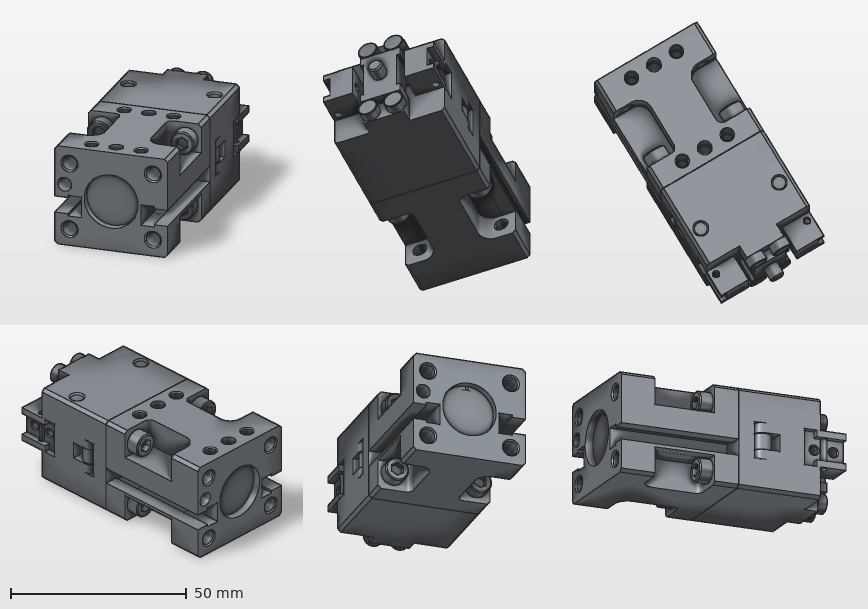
import cadquery as cq
import math

WIDTH = 34.0
HEIGHT = 30.0
EDGE_CHAMFER = 0.95
FRONT_LENGTH = 36.5
BODY_GAP = 0.15
REAR_START = FRONT_LENGTH + BODY_GAP
REAR_END = 62.05
PIN_END = 73.0
SIDES = (-1, 1)
HALF_WIDTH = WIDTH / 2
HALF_HEIGHT = HEIGHT / 2
DRILL_POINT_ANGLE = 118

SCREW_X = 12.55
SCREW_Z = 10.0
HEAD_DIAMETER = 7.0
HEAD_LENGTH = 4.0
HEAD_CHAMFER = 0.4
SHANK_DIAMETER = 4.0
SHANK_REACH = 8.0
SOCKET_FLATS = 3.5
SOCKET_DEPTH = 2.0

POCKET_START = 10.5
POCKET_END = 29.05
POCKET_WIDTH = 10.0
POCKET_DEPTH = 8.7
POCKET_FRONT_RADIUS = 4.0
POCKET_REAR_RADIUS = 2.0
BORE_DIAMETER = 16.2
BORE_DEPTH = 2.4
ACCESS_DIAMETER = 4.2
ACCESS_CHAMFER = 0.45
PIN_HOLE_DIAMETER = 4.15
PIN_HOLE_DEPTH = 8.0
PIN_HOLE_X = -14.0
PIN_HOLE_Z = 3.5
SLOT_CENTER_Z = -2.9
SLOT_MOUTH_HEIGHT = 4.9
SLOT_MOUTH_DEPTH = 4.0
SLOT_INNER_HEIGHT = 6.3
SLOT_DEPTH = 8.0
MOUNT_ROWS_Y = (4.45, 32.55)
MOUNT_PITCH_X = 7.45
DOWEL_DIAMETER = 4.15
TAP_DIAMETER = 3.35
TAP_CHAMFER = 0.4
MOUNT_DEPTH = 8.0

TOP_RECESS_X = 13.0
TOP_RECESS_Y = 52.05
TOP_RECESS_DIAMETER = 4.5
TOP_RECESS_FLOOR_DIAMETER = 3.65
TOP_RECESS_DEPTH = 0.5

BLOCK_WIDTH = 12.3
BLOCK_STEP_Y = 66.1
BLOCK_END = 68.9
BLOCK_LEDGE_Z = 8.9
BLOCK_GROOVE_HEIGHT = 12.3
BLOCK_GROOVE_DEPTH = 1.0
REAR_HEAD_X = 3.95
REAR_HEAD_Z = 11.9
REAR_HEAD_DIAMETER = 5.8
REAR_HEAD_CHAMFER = 0.2
PIN_DIAMETER = 4.4
PIN_CHAMFER = 0.45

CLIP_WIDTH = 9.0
CLIP_HEIGHT = 10.9
CLIP_END = 70.1
CHANNEL_HEIGHT = 6.9
CHANNEL_DEPTH = 2.0
FLANGE_START = 60.95
CHANNEL_START = 57.0
CLIP_HOLE_DIAMETER = 2.05
CLIP_HOLE_INSET = 2.0
CLIP_HOLE_Y = 63.95
CROSS_HOLE_YS = (60.95, 66.95)
CROSS_HOLE_DIAMETER = 2.4
CROSS_HOLE_CHAMFER = 0.4

ROLLER_Y = 45.05
ROLLER_RADIUS = 2.85
ARM_FRONT = ROLLER_Y - ROLLER_RADIUS
ROLLER_HEIGHT = 4.7
ROLLER_INSET = 0.3
WINDOW_HEIGHT = 5.05
WINDOW_END = 49.5
GAP_START = 41.5
PLUNGER_DIAMETER = 16.2


def box(x_range, y_range, z_range):
    """Axis-aligned box from three (low, high) ranges."""
    size = [high - low for low, high in (x_range, y_range, z_range)]
    return cq.Workplane("XY").box(*size, centered=False).translate((x_range[0], y_range[0], z_range[0]))


def span(size):
    """Range of the given size, centered on zero."""
    return (-size / 2, size / 2)


def rod(diameter, x, y_range, z):
    """Cylinder along Y."""
    length = y_range[1] - y_range[0]
    return cq.Workplane("XZ").circle(diameter / 2).extrude(-length).translate((x, y_range[0], z))


def chamfered_block(y_range):
    """Main block section with its four long edges chamfered."""
    return box(span(WIDTH), y_range, span(HEIGHT)).edges("|Y").chamfer(EDGE_CHAMFER)


def drill(diameter, depth, chamfer=0.0, pointed=True):
    """Hole cutter from the origin down -Z, with an optional mouth chamfer and drill point."""
    radius = diameter / 2
    point = radius / math.tan(math.radians(DRILL_POINT_ANGLE / 2)) if pointed else 0.0
    outline = cq.Workplane("XZ").lineTo(radius + chamfer, 0)
    if chamfer:
        outline = outline.lineTo(radius, -chamfer)
    outline = outline.lineTo(radius, -depth).lineTo(0, -depth - point).close()
    return outline.revolve(360, (0, 0), (0, 1))


def drill_down(cutter, x, y):
    """Place a hole cutter on the top face."""
    return cutter.translate((x, y, HALF_HEIGHT))


def drill_in(cutter, x, z):
    """Place a hole cutter on the front face, pointing along +Y."""
    return cutter.rotate((0, 0, 0), (1, 0, 0), 90).translate((x, 0, z))


def drill_side(cutter, side, x, y):
    """Place a hole cutter at distance x on the given side, pointing towards the middle."""
    return cutter.rotate((0, 0, 0), (0, 1, 0), 90 * side).translate((side * x, y, 0))


def both_sides(shape):
    """A +X shape together with its -X mirror image."""
    return shape, shape.mirror("YZ")


def corner_places():
    return [(side * SCREW_X, level * SCREW_Z) for side in SIDES for level in SIDES]


def screw_pocket():
    """Upper +X pocket that houses a screw head."""
    x_range = (HALF_WIDTH - POCKET_WIDTH, HALF_WIDTH)
    z_range = (HALF_HEIGHT - POCKET_DEPTH, HALF_HEIGHT)
    pocket = box(x_range, (POCKET_START, POCKET_END), z_range)
    pocket = pocket.edges("|Z and <X and <Y").fillet(POCKET_FRONT_RADIUS)
    return pocket.edges("|Z and <X and >Y").fillet(POCKET_REAR_RADIUS)


def side_slot():
    """T-slot along the +X side."""
    y_range = (0, FRONT_LENGTH)
    mouth = box((HALF_WIDTH - SLOT_MOUTH_DEPTH, HALF_WIDTH), y_range, span(SLOT_MOUTH_HEIGHT))
    inner_x = (HALF_WIDTH - SLOT_DEPTH, HALF_WIDTH - SLOT_MOUTH_DEPTH)
    inner = box(inner_x, y_range, span(SLOT_INNER_HEIGHT))
    return mouth.union(inner).translate((0, 0, SLOT_CENTER_Z))


def make_front_body():
    body = chamfered_block((0, FRONT_LENGTH))
    for pocket in both_sides(screw_pocket()):
        body = body.cut(pocket).cut(pocket.mirror("XY"))
    for slot in both_sides(side_slot()):
        body = body.cut(slot)
    body = body.cut(rod(BORE_DIAMETER, 0, (0, BORE_DEPTH), 0))
    body = body.cut(drill_in(drill(PIN_HOLE_DIAMETER, PIN_HOLE_DEPTH), PIN_HOLE_X, PIN_HOLE_Z))

    access = drill(ACCESS_DIAMETER, POCKET_START, ACCESS_CHAMFER, pointed=False)
    for x, z in corner_places():
        body = body.cut(drill_in(access, x, z))
        body = body.cut(rod(SHANK_DIAMETER, x, (POCKET_END, FRONT_LENGTH), z))

    tapped = drill(TAP_DIAMETER, MOUNT_DEPTH, TAP_CHAMFER)
    for y in MOUNT_ROWS_Y:
        body = body.cut(drill_down(drill(DOWEL_DIAMETER, MOUNT_DEPTH), 0, y))
        for side in SIDES:
            body = body.cut(drill_down(tapped, side * MOUNT_PITCH_X, y))
    return body


def make_screw(x, z):
    """Socket-head screw along Y with its head seated on the rear wall of a pocket."""
    head_front = POCKET_END - HEAD_LENGTH
    head = rod(HEAD_DIAMETER, x, (head_front, POCKET_END), z).faces("<Y").chamfer(HEAD_CHAMFER)
    corner_diameter = SOCKET_FLATS / math.cos(math.radians(30))
    socket = cq.Workplane("XY").polygon(6, corner_diameter).extrude(SOCKET_DEPTH)
    socket = socket.rotate((0, 0, 0), (0, 0, 1), 90).rotate((0, 0, 0), (1, 0, 0), -90)
    shank = rod(SHANK_DIAMETER, x, (POCKET_END, REAR_START + SHANK_REACH), z)
    return head.cut(socket.translate((x, head_front, z))).union(shank)


def rear_block():
    """Stepped block on the rear face with four screw heads and the central pin."""
    block = box(span(BLOCK_WIDTH), (REAR_END, BLOCK_STEP_Y), span(HEIGHT))
    block = block.union(box(span(BLOCK_WIDTH), (BLOCK_STEP_Y, BLOCK_END), span(2 * BLOCK_LEDGE_Z)))
    groove_x = (BLOCK_WIDTH / 2 - BLOCK_GROOVE_DEPTH, BLOCK_WIDTH / 2)
    groove = box(groove_x, (REAR_END, BLOCK_END), span(BLOCK_GROOVE_HEIGHT))
    for cutter in both_sides(groove):
        block = block.cut(cutter)
    for side in SIDES:
        for level in SIDES:
            head = rod(REAR_HEAD_DIAMETER, side * REAR_HEAD_X, (BLOCK_STEP_Y, BLOCK_END), level * REAR_HEAD_Z)
            block = block.union(head.faces(">Y").chamfer(REAR_HEAD_CHAMFER))
    pin = rod(PIN_DIAMETER, 0, (BLOCK_END, PIN_END), 0).faces(">Y").chamfer(PIN_CHAMFER)
    return block.union(pin)


def clip():
    """Clip block standing behind the +X side of the rear face."""
    return box((HALF_WIDTH - CLIP_WIDTH, HALF_WIDTH), (REAR_END, CLIP_END), span(CLIP_HEIGHT))


def clip_channel():
    """Recess along the outer +X face of the clip, full height at its front end."""
    x_range = (HALF_WIDTH - CHANNEL_DEPTH, HALF_WIDTH)
    channel = box(x_range, (FLANGE_START, CLIP_END), span(CHANNEL_HEIGHT))
    return channel.union(box(x_range, (CHANNEL_START, FLANGE_START), span(CLIP_HEIGHT)))


def clip_hole():
    """Vertical hole through the +X clip, on the floor of the channel."""
    hole = cq.Workplane("XY").circle(CLIP_HOLE_DIAMETER / 2).extrude(CLIP_HEIGHT / 2, both=True)
    return hole.translate((HALF_WIDTH - CLIP_HOLE_INSET, CLIP_HOLE_Y, 0))


def arm_gap():
    """Gap in front of the rounded +X arms, reaching in to the plunger surface."""
    arm_center_x = HALF_WIDTH - ROLLER_RADIUS
    diagonal = ROLLER_RADIUS * math.sqrt(0.5)
    gap = (
        cq.Workplane("XY")
        .moveTo(0, GAP_START)
        .lineTo(HALF_WIDTH, GAP_START)
        .lineTo(HALF_WIDTH, ROLLER_Y)
        .threePointArc((arm_center_x + diagonal, ROLLER_Y - diagonal), (arm_center_x, ARM_FRONT))
        .lineTo(0, ARM_FRONT)
        .close()
        .extrude(CLIP_HEIGHT / 2, both=True)
    )
    return gap.cut(rod(PLUNGER_DIAMETER, 0, (GAP_START, ARM_FRONT), 0))


def roller_window():
    """Window through the whole width with a roller left standing at each side."""
    window = box(span(WIDTH), (ROLLER_Y, WINDOW_END), span(WINDOW_HEIGHT))
    entry = box((HALF_WIDTH - ROLLER_RADIUS, HALF_WIDTH), (ARM_FRONT, ROLLER_Y), span(WINDOW_HEIGHT))
    roller = cq.Workplane("XY").circle(ROLLER_RADIUS).extrude(ROLLER_HEIGHT / 2, both=True)
    roller = roller.translate((HALF_WIDTH - ROLLER_INSET - ROLLER_RADIUS, ROLLER_Y, 0))
    for cutter in both_sides(entry):
        window = window.union(cutter)
    for standing in both_sides(roller):
        window = window.cut(standing)
    return window


def top_recess():
    """Shallow conical recess cutter with a flat floor, mouth centered on the origin."""
    mouth_radius = TOP_RECESS_DIAMETER / 2
    floor_radius = TOP_RECESS_FLOOR_DIAMETER / 2
    cone = cq.Solid.makeCone(mouth_radius, floor_radius, TOP_RECESS_DEPTH, dir=cq.Vector(0, 0, -1))
    return cq.Workplane(cone)


def make_rear_body():
    body = chamfered_block((REAR_START, REAR_END)).union(rear_block())
    for block in both_sides(clip()):
        body = body.union(block)
    for cutter in (clip_channel(), clip_hole(), arm_gap()):
        for placed in both_sides(cutter):
            body = body.cut(placed)
    body = body.cut(roller_window())

    channel_floor = HALF_WIDTH - CHANNEL_DEPTH
    front_hole_y, rear_hole_y = CROSS_HOLE_YS
    through = drill(CROSS_HOLE_DIAMETER, channel_floor, CROSS_HOLE_CHAMFER, pointed=False)
    clip_only = drill(CROSS_HOLE_DIAMETER, CLIP_WIDTH - CHANNEL_DEPTH, CROSS_HOLE_CHAMFER, pointed=False)
    for side in SIDES:
        body = body.cut(drill_side(through, side, channel_floor, front_hole_y))
        body = body.cut(drill_side(clip_only, side, channel_floor, rear_hole_y))
        body = body.cut(drill_down(top_recess(), side * TOP_RECESS_X, TOP_RECESS_Y))

    for x, z in corner_places():
        body = body.cut(rod(SHANK_DIAMETER, x, (REAR_START, REAR_START + SHANK_REACH), z))
    return body


front_body = make_front_body()
rear_body = make_rear_body()
screws = [make_screw(x, z) for x, z in corner_places()]

result = cq.Compound.makeCompound(
    [front_body.val(), rear_body.val(), *[screw.val() for screw in screws]]
)